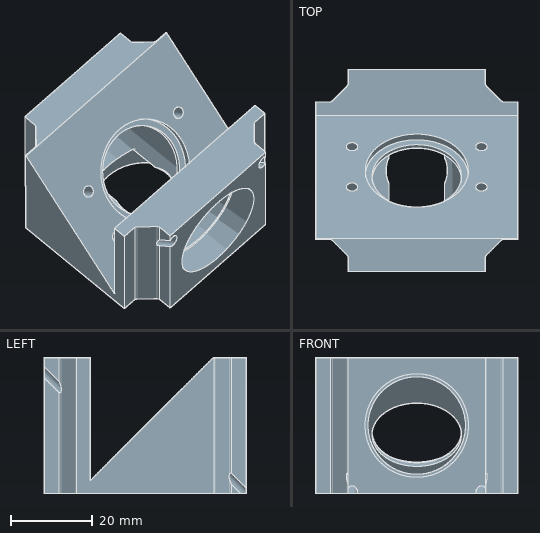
import cadquery as cq

width = 49.8
height = 33.5
half_width = width / 2
centre_z = height / 2
overshoot = 5.0

groove_wall = 16.95
groove_bevel_near = 17.25
groove_bevel_far = 20.75
groove_lip = 21.2

wall_thickness = 11.35
wall_face_y = half_width - wall_thickness

port_diameter = 25.5
port_depth = 6.85
bore_diameter = 24.0
base_bore_diameter = 15.05

seat_diameter = 25.4
seat_depth = 2.0
aperture_diameter = 22.0
web_back_depth = 3.25

screw_diameter = 2.8
screw_x = 15.95
screw_spacing = 14.05
screw_shift = -1.3
screw_reach = 2 * width


def make_block():
    """Square prism with a bevelled groove down each vertical edge."""
    corner = [
        (half_width, groove_wall),
        (groove_lip, groove_wall),
        (groove_bevel_far, groove_bevel_near),
        (groove_bevel_near, groove_bevel_far),
        (groove_wall, groove_lip),
        (groove_wall, half_width),
    ]
    mirrored = [(-x, y) for x, y in reversed(corner)]
    rear = corner + mirrored
    front = [(-x, -y) for x, y in rear]
    return cq.Workplane("XY").polyline(rear + front).close().extrude(height)


def make_notch():
    """V-shaped opening between the vertical rear wall and the 45 degree face."""
    top_z = height + overshoot
    profile = [
        (wall_face_y, centre_z - wall_face_y),
        (wall_face_y, top_z),
        (centre_z - top_z, top_z),
    ]
    return cq.Workplane("YZ").polyline(profile).close().extrude(half_width + overshoot, both=True)


def cylinder(diameter, length, start, direction):
    return cq.Workplane(cq.Solid.makeCylinder(diameter / 2, length, cq.Vector(*start), cq.Vector(*direction)))


slope_plane = cq.Plane(origin=(0, 0, centre_z), xDir=(1, 0, 0), normal=(0, -1, -1))


def cut_ports(body):
    """Counterbored front, rear and base ports; the front and base cavities stop behind the sloped web."""
    front_bore = cylinder(bore_diameter, width, (0, -half_width, centre_z), (0, 1, 0))
    base_bore = cylinder(base_bore_diameter, height, (0, 0, 0), (0, 0, 1))
    behind_web = (
        cq.Workplane(slope_plane)
        .workplane(offset=web_back_depth)
        .rect(2 * width, 2 * width)
        .extrude(width)
    )
    base_port = cylinder(port_diameter, port_depth, (0, 0, 0), (0, 0, 1))
    for cavity in (front_bore, base_bore, base_port):
        body = body.cut(cavity.intersect(behind_web))
    body = body.cut(cylinder(bore_diameter, wall_thickness, (0, half_width, centre_z), (0, -1, 0)))
    body = body.cut(cylinder(port_diameter, port_depth, (0, -half_width, centre_z), (0, 1, 0)))
    return body.cut(cylinder(port_diameter, port_depth, (0, half_width, centre_z), (0, -1, 0)))


def cut_seat(body):
    """Round seat and aperture, square to the sloped face."""
    seat = cq.Workplane(slope_plane).circle(seat_diameter / 2).extrude(seat_depth)
    aperture = cq.Workplane(slope_plane).circle(aperture_diameter / 2).extrude(web_back_depth)
    return body.cut(seat).cut(aperture)


def cut_screw_holes(body):
    """Four holes square to the sloped face, running through base and rear wall."""
    points = [
        (side * screw_x, screw_shift + end * screw_spacing / 2)
        for side in (-1, 1)
        for end in (-1, 1)
    ]
    holes = (
        cq.Workplane(slope_plane)
        .pushPoints(points)
        .circle(screw_diameter / 2)
        .extrude(screw_reach, both=True)
    )
    return body.cut(holes)


result = make_block().cut(make_notch())
result = cut_ports(result)
result = cut_seat(result)
result = cut_screw_holes(result)